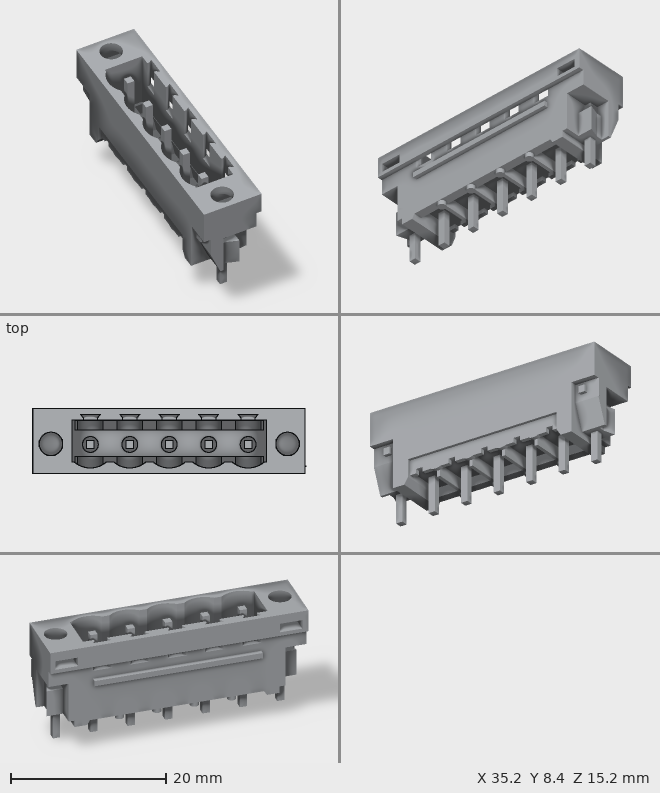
import cadquery as cq
import math


total_length = 35.2
housing_depth = 8.4
housing_top = 15.2
lip_width = 0.1
left_end = -total_length / 2
right_end = total_length / 2 - lip_width
overshoot = 1.75

contact_count = 5
anchor_span = 30.5
pitch = anchor_span / (contact_count + 1)
contact_xs = [(i - (contact_count - 1) / 2) * pitch for i in range(contact_count)]
gap_xs = [(i - (contact_count - 2) / 2) * pitch for i in range(contact_count - 1)]
anchor_x = anchor_span / 2
pin_width = 1.0
pin_y = 3.75
contact_top = 14.4
anchor_top = 9.68
anchor_front = 0.4

back_y = 7.65
overhang_bottom = 12.1
foot_bottom = 3.2
foot_half_length = 13.95
end_floor = 4.15
end_roof = 9.8
end_wall_front = 0.95
end_wall_back = 2.8
end_wall_top = 10.35
taper_top = 7.7
taper_foot_y = 2.4
inner_wall_x = anchor_x - pin_width / 2
lip_thickness = 0.07

guide_top = 7.85
guide_side_x = 16.45
guide_corner_x = 17.0
guide_bend_y = 3.73
guide_back = 5.42

cavity_half_length = 12.53
cavity_front = 1.48
cavity_back = 6.9
cavity_floor = 7.18
scallop_radius = 3.17
scallop_front = 0.75
collar_radius = 1.02
collar_depth = 0.2

groove_half_length = 12.15
groove_bottom = 5.63
groove_front_end = 2.2
groove_back_start = 5.63
groove_back_end = 6.83
hump_radius = 1.48
hump_arc_half = 1.3
hump_base_half = 1.65

dovetail_back_half = 1.25
dovetail_mouth_half = 0.9
dovetail_taper_y = 7.18
dovetail_floor = 11.1

screw_radius = 1.5
screw_y = 3.85
screw_plate_bottom = 13.9
nut_pocket_floor = 12.65

recess_half_length = 11.6
recess_top = 6.72
recess_depth = 0.45
front_skirt_thickness = 0.67
front_skirt_bottom = 4.58
back_skirt_thickness = 1.3
back_skirt_front = back_y - back_skirt_thickness
back_skirt_bottom = 3.85
hollow_top = 5.2
foot_chamfer_width = 0.6
foot_chamfer_height = 1.0
lobe_half_width = 0.75
lobe_drop = 0.18
peg_radius = 0.6
peg_y = back_y - back_skirt_thickness / 2
peg_rib_width = 0.53
peg_rib_bottom = 3.52

rail_bottom = 9.15
rail_top = 9.93
rail_back = 8.3


def box(x0, x1, y0, y1, z0, z1):
    """Box between two opposite corners."""
    return cq.Workplane("XY").box(x1 - x0, y1 - y0, z1 - z0, centered=False).translate((x0, y0, z0))


def on_both_ends(shape):
    """The left-hand shape and its mirror image at the right-hand end."""
    return shape.union(shape.mirror("YZ"))


def square_pin(x, bottom, top):
    """Upright square pin."""
    half = pin_width / 2
    return box(x - half, x + half, pin_y - half, pin_y + half, bottom, top)


def anchor_pin(x):
    """L-shaped pin: an upright leg and a horizontal leg pointing to the front."""
    half = pin_width / 2
    leg = box(x - half, x + half, anchor_front, pin_y + half, anchor_top - pin_width, anchor_top)
    return square_pin(x, 0, anchor_top).union(leg)


def housing_block():
    """Main block with its back overhang and the front-to-back feet."""
    profile = [
        (0, foot_bottom),
        (back_y, foot_bottom),
        (back_y, overhang_bottom),
        (housing_depth, overhang_bottom),
        (housing_depth, housing_top),
        (0, housing_top),
    ]
    block = cq.Workplane("YZ").polyline(profile).close().extrude(right_end - left_end)
    return block.translate((left_end, 0, 0))


def end_cuts():
    """Material missing at the left end around the tapered end wall."""
    outer_x = left_end - overshoot
    profile = [
        (-overshoot, end_wall_top),
        (end_wall_front, end_wall_top),
        (end_wall_front, taper_top),
        (taper_foot_y, end_floor),
        (back_y + overshoot, end_floor),
        (back_y + overshoot, 0),
        (-overshoot, 0),
    ]
    front_cut = (
        cq.Workplane("YZ").polyline(profile).close()
        .extrude(-foot_half_length - outer_x).translate((outer_x, 0, 0))
    )
    recess = box(outer_x, -inner_wall_x, end_wall_back, back_y + overshoot, 0, end_roof)
    return front_cut.union(recess)


def anchor_guide():
    """Left block with a slanted outer face that holds the anchor pin."""
    outline = [
        (-inner_wall_x, end_wall_back),
        (-guide_side_x, end_wall_back),
        (-guide_side_x, guide_bend_y),
        (-guide_corner_x, guide_back),
        (-inner_wall_x, guide_back),
    ]
    return (
        cq.Workplane("XY").workplane(offset=end_floor)
        .polyline(outline).close().extrude(guide_top - end_floor)
    )


def end_lip():
    """Thin lip at the right end of the end wall's front face."""
    return box(
        right_end, right_end + lip_width,
        end_wall_front, end_wall_front + lip_thickness, taper_top, end_wall_top,
    )


def cavity_plan(floor):
    """Cavity from the given floor up, with a round scallop in its front wall at each contact."""
    plan = box(-cavity_half_length, cavity_half_length, cavity_front, cavity_back, floor, housing_top)
    for x in contact_xs:
        scallop = (
            cq.Workplane("XY").workplane(offset=floor)
            .center(x, scallop_front + scallop_radius).circle(scallop_radius)
            .extrude(housing_top - floor)
        )
        half = cavity_half_length - contact_xs[-1]
        window = box(x - half, x + half, 0, pin_y, floor, housing_top)
        plan = plan.union(scallop.intersect(window))
    return plan


def hump(x):
    """Ridge along Y with a round top and slanted flanks, standing on the groove bottom."""
    arc_rise = hump_radius - math.sqrt(hump_radius**2 - hump_arc_half**2)
    flank_slope = hump_arc_half / math.sqrt(hump_radius**2 - hump_arc_half**2)
    shoulder = groove_bottom + (hump_base_half - hump_arc_half) * flank_slope
    return (
        cq.Workplane("XZ")
        .moveTo(x - hump_base_half, groove_bottom)
        .lineTo(x - hump_arc_half, shoulder)
        .threePointArc((x, shoulder + arc_rise), (x + hump_arc_half, shoulder))
        .lineTo(x + hump_base_half, groove_bottom)
        .close().extrude(-housing_depth)
    )


def floor_grooves():
    """Two grooves along the cavity floor, less the humps left standing in them."""
    half = groove_half_length
    front = box(-half, half, 0, groove_front_end, groove_bottom, cavity_floor)
    back = box(-half, half, groove_back_start, groove_back_end, groove_bottom, cavity_floor)
    grooves = cavity_plan(groove_bottom).intersect(front.union(back))
    for x in contact_xs:
        grooves = grooves.cut(hump(x))
    return grooves


def dovetail(x):
    """Dovetail slot in the back wall; it opens to the back below the overhang."""
    outline = [
        (x - dovetail_mouth_half, pin_y),
        (x - dovetail_mouth_half, dovetail_taper_y),
        (x - dovetail_back_half, back_y),
        (x + dovetail_back_half, back_y),
        (x + dovetail_mouth_half, dovetail_taper_y),
        (x + dovetail_mouth_half, pin_y),
    ]
    return (
        cq.Workplane("XY").workplane(offset=dovetail_floor)
        .polyline(outline).close().extrude(housing_top - dovetail_floor)
    )


def collar(x):
    """Shallow round recess in the cavity floor around a contact."""
    return (
        cq.Workplane("XY").workplane(offset=cavity_floor - collar_depth)
        .center(x, pin_y).circle(collar_radius).extrude(collar_depth)
    )


def screw_hole():
    """Left screw hole with a nut pocket below it that opens to the back."""
    hole = (
        cq.Workplane("XY").workplane(offset=nut_pocket_floor)
        .center(-anchor_x, screw_y).circle(screw_radius).extrude(housing_top - nut_pocket_floor)
    )
    pocket = box(
        -anchor_x - screw_radius, -anchor_x + screw_radius,
        screw_y - screw_radius, housing_depth, nut_pocket_floor, screw_plate_bottom,
    )
    return hole.union(pocket)


def front_skirt():
    """Front skirt with a round lobe on its lower edge in each gap and a slot at each contact."""
    half = recess_half_length
    skirt_back = recess_depth + front_skirt_thickness
    skirt = box(-half, half, recess_depth, skirt_back, front_skirt_bottom, hollow_top)
    for x in gap_xs:
        lobe = (
            cq.Workplane("XZ").moveTo(x - lobe_half_width, front_skirt_bottom)
            .threePointArc((x, front_skirt_bottom - lobe_drop), (x + lobe_half_width, front_skirt_bottom))
            .close().extrude(-front_skirt_thickness).translate((0, recess_depth, 0))
        )
        skirt = skirt.union(lobe)
    for x in contact_xs:
        half_slot = pin_width / 2
        skirt = skirt.cut(box(x - half_slot, x + half_slot, 0, pin_y, 0, hollow_top))
    return skirt


def underside_cut():
    """Hollow under the cavity floor, the front recess, and the chamfered inner sides of the feet."""
    half = recess_half_length
    recess = box(-half, half, 0, recess_depth, 0, recess_top)
    hollow = box(-half, half, 0, back_skirt_front, 0, hollow_top)
    mouth_half = half + foot_chamfer_width
    chamfer_top = foot_bottom + foot_chamfer_height
    mouth_profile = [
        (-mouth_half, foot_bottom),
        (-half, chamfer_top),
        (half, chamfer_top),
        (mouth_half, foot_bottom),
    ]
    mouth = cq.Workplane("XZ").polyline(mouth_profile).close().extrude(-back_y)
    back_skirt = box(-mouth_half, mouth_half, back_skirt_front, back_y, back_skirt_bottom, hollow_top)
    return recess.union(hollow).union(mouth.cut(back_skirt))


def support_peg(x):
    """Round peg below the back skirt, in a gap between contacts, braced by a rib to the front skirt."""
    peg = (
        cq.Workplane("XY").workplane(offset=foot_bottom)
        .center(x, peg_y).circle(peg_radius).extrude(hollow_top - foot_bottom)
    )
    half_rib = peg_rib_width / 2
    rib_front = recess_depth + front_skirt_thickness
    rib = box(x - half_rib, x + half_rib, rib_front, peg_y, peg_rib_bottom, hollow_top)
    return peg.union(rib)


def latch_rail():
    """Rail along the back face."""
    half = contact_xs[-1] + dovetail_back_half
    return box(-half, half, back_y, rail_back, rail_bottom, rail_top)


def make_housing(pins):
    """Housing with a matching hole for every pin."""
    body = housing_block().cut(on_both_ends(end_cuts())).cut(underside_cut())
    body = body.union(on_both_ends(anchor_guide())).union(end_lip())
    body = body.union(front_skirt()).union(latch_rail())
    for x in gap_xs:
        body = body.union(support_peg(x))
    body = body.cut(cavity_plan(cavity_floor)).cut(floor_grooves()).cut(on_both_ends(screw_hole()))
    for x in contact_xs:
        body = body.cut(dovetail(x)).cut(collar(x))
    for pin in pins:
        body = body.cut(pin)
    return body


contact_pins = [square_pin(x, 0, contact_top) for x in contact_xs]
anchor_pins = [anchor_pin(x) for x in (-anchor_x, anchor_x)]
pins = contact_pins + anchor_pins
housing = make_housing(pins)

result = cq.Compound.makeCompound([housing.val(), *[pin.val() for pin in pins]])